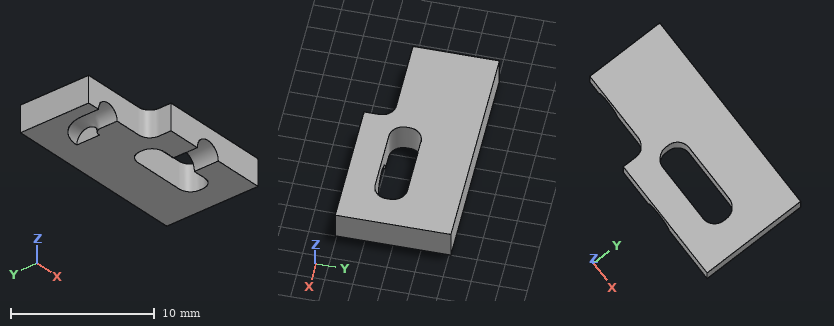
import cadquery as cq

length = 16.002
width = 8.255
thickness = 2.286

step_length = 6.477
step_depth = 2.083
step_fillet_radius = 0.98

slot_length = 6.56
slot_width = 2.286
slot_corner_radius = 1.016
slot_center_x = 10.5
slot_center_y = 3.302

straight_groove_radius = 1.143
bent_groove_radius = 1.016
bent_groove_x = 2.09
bent_groove_straight_length = 1.5
bend_radius = 1.651
bend_angle = 90


def stepped_plate():
    plate = cq.Workplane("XY").box(length, width, thickness, centered=False)
    step = cq.Workplane("XY").box(step_length, step_depth, thickness, centered=False)
    inner_corner = cq.selectors.NearestToPointSelector((step_length, step_depth, thickness / 2))
    return plate.cut(step).edges("|Z").edges(inner_corner).fillet(step_fillet_radius)


def rounded_slot():
    return (
        cq.Workplane("XY")
        .center(slot_center_x, slot_center_y)
        .rect(slot_length, slot_width)
        .extrude(thickness)
        .edges("|Z")
        .fillet(slot_corner_radius)
    )


def straight_groove():
    """Round bar along Y, from the front face to the middle of the slot."""
    return (
        cq.Workplane("XZ")
        .center(slot_center_x, 0)
        .circle(straight_groove_radius)
        .extrude(-slot_center_y)
    )


def bent_groove():
    """Round bar that enters the step face along Y, then bends towards +X."""
    bend_start_y = step_depth + bent_groove_straight_length
    entry = (
        cq.Workplane("XZ", origin=(bent_groove_x, step_depth, 0))
        .circle(bent_groove_radius)
        .extrude(-bent_groove_straight_length)
    )
    bend = (
        cq.Workplane("XZ", origin=(bent_groove_x, bend_start_y, 0))
        .circle(bent_groove_radius)
        .revolve(bend_angle, (bend_radius, 0, 0), (bend_radius, -1, 0))
    )
    return entry.union(bend)


result = stepped_plate().cut(rounded_slot()).cut(straight_groove()).cut(bent_groove())